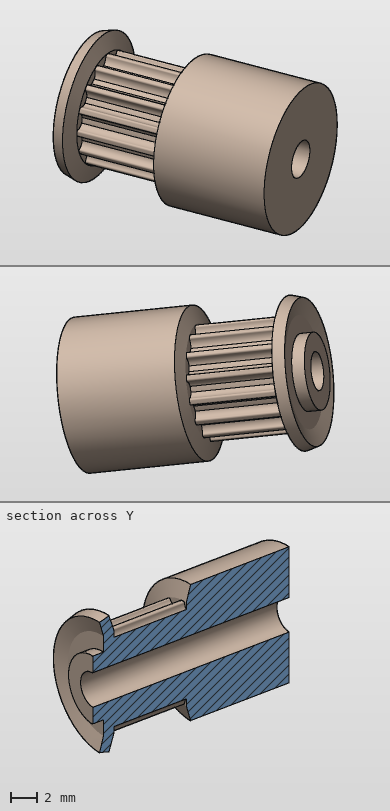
import cadquery as cq
import math

length = 19.0
outer_radius = 6.0
boss_radius = outer_radius / 2
bore_radius = outer_radius / 4

flange_front_x = 0.65
dish_floor_x = 1.03
flange_peak_x = 1.6
teeth_start_x = 2.07
teeth_end_x = 9.05
hub_rim_x = 9.46

flange_front_radius = 5.74
dish_radius = 4.39
cone_root_radius = 4.56

tooth_count = 15
tip_radius = 4.52
root_radius = 3.8
tip_half_width = 0.11
root_half_width = 0.23
tip_fillet = 0.15
flank_lean = math.radians(11)
cutter_clearance = 0.19
tooth_pitch = 360 / tooth_count


def polar(radius, angle):
    """Point at a radius and an angle (radians) from the groove's centre line."""
    return radius * math.cos(angle), radius * math.sin(angle)


def turned_blank():
    """Boss, dished flange, plain belt section and hub, bored through."""
    return (
        cq.Workplane("XY")
        .moveTo(0, bore_radius)
        .lineTo(0, boss_radius)
        .lineTo(dish_floor_x, boss_radius)
        .lineTo(dish_floor_x, dish_radius)
        .lineTo(flange_front_x, flange_front_radius)
        .lineTo(flange_peak_x, outer_radius)
        .lineTo(teeth_start_x, cone_root_radius)
        .lineTo(teeth_start_x, tip_radius)
        .lineTo(teeth_end_x, tip_radius)
        .lineTo(teeth_end_x, cone_root_radius)
        .lineTo(hub_rim_x, outer_radius)
        .lineTo(length, outer_radius)
        .lineTo(length, bore_radius)
        .close()
        .revolve(360, (0, 0, 0), (1, 0, 0))
    )


def groove_cutter():
    """One groove between two teeth, centred on +Y: rounded tips, hollow flanks, round root."""
    tip_angle = math.radians(tooth_pitch / 2) - math.asin(tip_half_width / tip_radius)
    root_angle = math.asin(root_half_width / root_radius)
    cutter_radius = tip_radius + cutter_clearance
    fillet_y, fillet_z = polar(tip_radius - tip_fillet, tip_angle)

    def on_fillet(angle):
        offset_y, offset_z = polar(tip_fillet, angle)
        return fillet_y + offset_y, fillet_z + offset_z

    flank_normal = flank_lean - math.pi / 2
    half_groove = (
        cq.Workplane("YZ", origin=(teeth_start_x, 0, 0))
        .moveTo(cutter_radius, 0)
        .lineTo(*polar(cutter_radius, tip_angle))
        .lineTo(*on_fillet(tip_angle))
        .threePointArc(on_fillet((tip_angle + flank_normal) / 2), on_fillet(flank_normal))
        .tangentArcPoint(polar(root_radius, root_angle), relative=False)
        .threePointArc(polar(root_radius, root_angle / 2), (root_radius, 0))
        .close()
        .extrude(teeth_end_x - teeth_start_x)
    )
    return half_groove.union(half_groove.mirror("XY")).clean()


result = turned_blank()
groove = groove_cutter()
for index in range(tooth_count):
    result = result.cut(groove.rotate((0, 0, 0), (1, 0, 0), index * tooth_pitch))